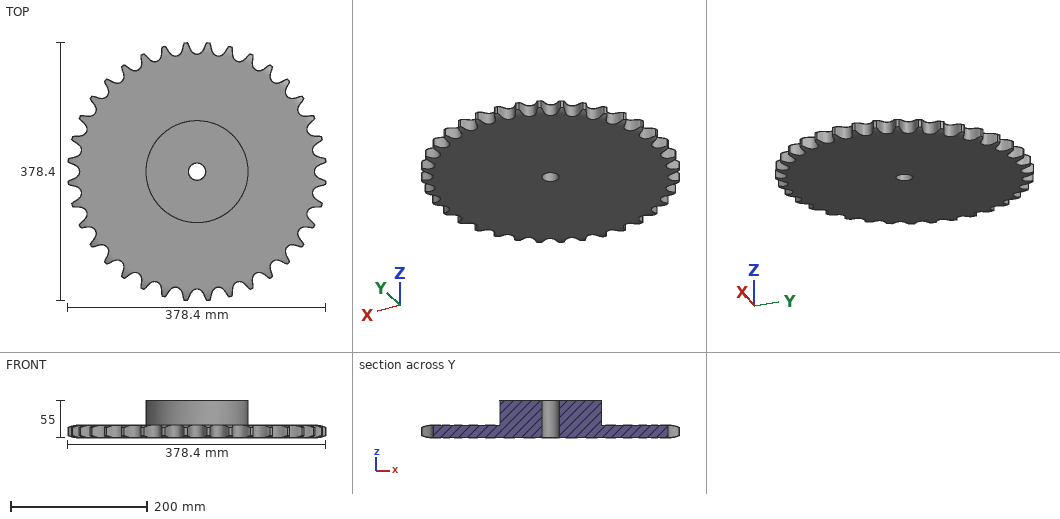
import cadquery as cq
import math

tooth_count = 36
pitch_diameter = 364.0
tip_diameter = 379.5
total_height = 55.0
plate_thickness = 18.5
hub_diameter = 150.0
bore_diameter = 25.0

flat_face_diameter = 349.5
side_arc_radius = 34.0

roller_diameter = 19.0
seat_clearance = 0.08
seat_radius = (1.005 * roller_diameter + seat_clearance) / 2
seat_angle = math.radians(35 + 60 / tooth_count)
working_sweep = math.radians(18 - 56 / tooth_count)
topping_lean = math.radians(17 - 64 / tooth_count)
working_offset = 0.8 * roller_diameter
topping_offset = 1.4 * roller_diameter
working_radius = working_offset + seat_radius
straight_length = topping_offset * math.sin(topping_lean) - working_offset * math.sin(working_sweep)
topping_radius = (
    working_offset * math.cos(working_sweep) + topping_offset * math.cos(topping_lean) - working_radius
)

pitch_radius = pitch_diameter / 2
tip_radius = tip_diameter / 2
tooth_angle = 2 * math.pi / tooth_count


def polar(center, radius, angle):
    """Point at a radius and angle (radians) from a centre."""
    return (center[0] + radius * math.cos(angle), center[1] + radius * math.sin(angle))


def half_gap():
    """Points of half a tooth gap centred on +X, from the root out to the tip circle on the +Y side.

    They are: root, seat end, working middle, working end, straight end, topping middle, topping end.
    """
    roller_center = (pitch_radius, 0)
    seat_end_angle = math.pi / 2 + seat_angle
    working_end_angle = seat_end_angle - working_sweep
    working_center = polar(roller_center, -working_offset, seat_end_angle)
    working_end = polar(working_center, working_radius, working_end_angle)
    straight_end = polar(working_end, straight_length, working_end_angle - math.pi / 2)

    topping_center = polar(straight_end, topping_radius, working_end_angle)
    center_distance = math.hypot(*topping_center)
    cosine = (tip_radius**2 + center_distance**2 - topping_radius**2) / (2 * tip_radius * center_distance)
    tip_angle = math.atan2(topping_center[1], topping_center[0]) - math.acos(cosine)
    topping_end = polar((0, 0), tip_radius, tip_angle)
    topping_start_angle = working_end_angle - math.pi
    topping_end_angle = math.atan2(topping_end[1] - topping_center[1], topping_end[0] - topping_center[0])

    return [
        polar(roller_center, seat_radius, math.pi),
        polar(roller_center, seat_radius, seat_end_angle),
        polar(working_center, working_radius, (seat_end_angle + working_end_angle) / 2),
        working_end,
        straight_end,
        polar(topping_center, topping_radius, (topping_start_angle + topping_end_angle) / 2),
        topping_end,
    ]


def turned(point, angle):
    """Point turned about the main axis by an angle in radians."""
    return polar((0, 0), math.hypot(*point), math.atan2(point[1], point[0]) + angle)


def toothed_prism():
    """Straight-sided plate with the full tooth outline."""
    leaving = half_gap()
    entering = [(x, -y) for x, y in leaving]
    outline = cq.Workplane("XY").moveTo(*entering[-1])
    for index in range(tooth_count):
        gap_angle = index * tooth_angle

        _, seat_end, work_mid, work_end, line_end, top_mid, _ = [
            turned(point, gap_angle) for point in entering
        ]
        outline = (
            outline.threePointArc(top_mid, line_end)
            .lineTo(*work_end)
            .threePointArc(work_mid, seat_end)
        )

        root, seat_end, work_mid, work_end, line_end, top_mid, top_end = [
            turned(point, gap_angle) for point in leaving
        ]
        tip_mid = polar((0, 0), tip_radius, gap_angle + tooth_angle / 2)
        tip_end = turned(entering[-1], gap_angle + tooth_angle)
        outline = (
            outline.threePointArc(root, seat_end)
            .threePointArc(work_mid, work_end)
            .lineTo(*line_end)
            .threePointArc(top_mid, top_end)
            .threePointArc(tip_mid, tip_end)
        )
    return outline.close().extrude(plate_thickness)


def rounded_disc():
    """Disc whose two faces curve inward towards the rim."""
    flat_radius = flat_face_diameter / 2
    sweep = math.asin((tip_radius - flat_radius) / side_arc_radius)
    rim_drop = side_arc_radius * (1 - math.cos(sweep))
    mid_radius = flat_radius + side_arc_radius * math.sin(sweep / 2)
    mid_drop = side_arc_radius * (1 - math.cos(sweep / 2))
    return (
        cq.Workplane("XZ")
        .lineTo(flat_radius, 0)
        .threePointArc((mid_radius, mid_drop), (tip_radius, rim_drop))
        .lineTo(tip_radius, plate_thickness - rim_drop)
        .threePointArc((mid_radius, plate_thickness - mid_drop), (flat_radius, plate_thickness))
        .lineTo(0, plate_thickness)
        .close()
        .revolve(360, (0, 0), (0, 1))
    )


toothed_plate = toothed_prism().intersect(rounded_disc())
hub = cq.Workplane("XY").circle(hub_diameter / 2).extrude(total_height)
bore = cq.Workplane("XY").circle(bore_diameter / 2).extrude(total_height)

result = toothed_plate.union(hub).cut(bore)